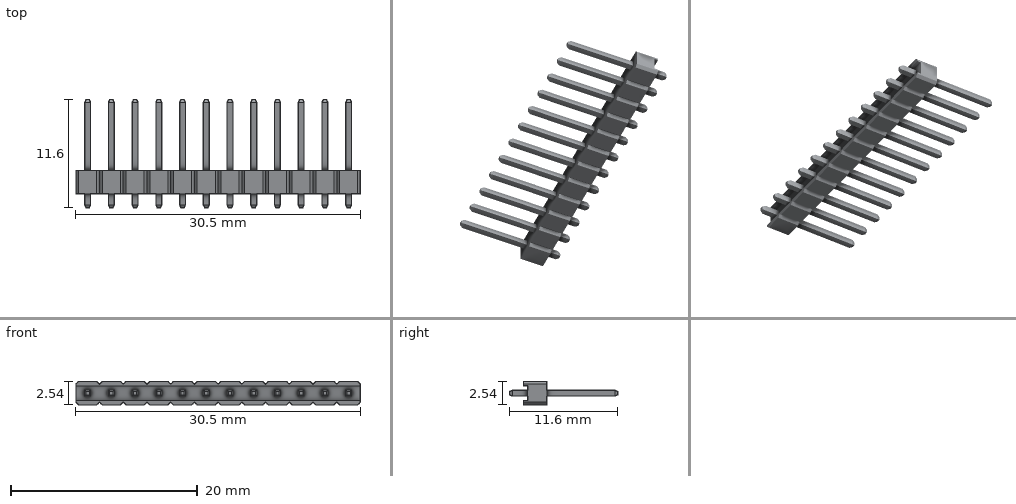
import cadquery as cq


pin_count = 12
pitch = 2.54
housing_depth = 2.5
housing_height = 2.54
corner_chamfer = 0.3
groove_depth = 0.44
groove_height = 1.54

pin_width = 0.65
pin_length = 11.6
pin_front_projection = 1.5
tip_length = 0.32
tip_end_width = 0.35

row_length = pin_count * pitch
housing_front_y = -housing_depth / 2
pin_front_y = housing_front_y - pin_front_projection
pin_back_y = pin_front_y + pin_length
pin_positions = [(i - (pin_count - 1) / 2) * pitch for i in range(pin_count)]


def make_segment():
    """One chamfered housing cell, centred on the origin."""
    return (
        cq.Workplane("XY")
        .box(pitch, housing_depth, housing_height)
        .edges("|Y")
        .chamfer(corner_chamfer)
    )


def make_groove():
    """Full-length channel in the front face, leaving a lip above and below."""
    groove = cq.Workplane("XY").box(row_length, groove_depth, groove_height)
    return groove.translate((0, housing_front_y + groove_depth / 2, 0))


def make_tip(shoulder_y, end_y):
    """Square taper from the full pin section down to the pin end."""
    return (
        cq.Workplane("XZ", origin=(0, shoulder_y, 0))
        .rect(pin_width, pin_width)
        .workplane(offset=shoulder_y - end_y)
        .rect(tip_end_width, tip_end_width)
        .loft(ruled=True)
    )


def make_pin():
    """Square pin with a tapered tip at both ends, centred on X = 0."""
    front_shoulder_y = pin_front_y + tip_length
    back_shoulder_y = pin_back_y - tip_length
    shank_length = back_shoulder_y - front_shoulder_y
    shank_center_y = (front_shoulder_y + back_shoulder_y) / 2
    shank = cq.Workplane("XY").box(pin_width, shank_length, pin_width)
    shank = shank.translate((0, shank_center_y, 0))
    front_tip = make_tip(front_shoulder_y, pin_front_y)
    back_tip = make_tip(back_shoulder_y, pin_back_y)
    return shank.union(front_tip).union(back_tip)


def repeat_along_row(shape):
    """Fuse one copy of the shape at every pin position."""
    row = cq.Workplane("XY")
    for x in pin_positions:
        row = row.union(shape.translate((x, 0, 0)))
    return row


housing = repeat_along_row(make_segment()).cut(make_groove())
pins = repeat_along_row(make_pin())
result = housing.union(pins)